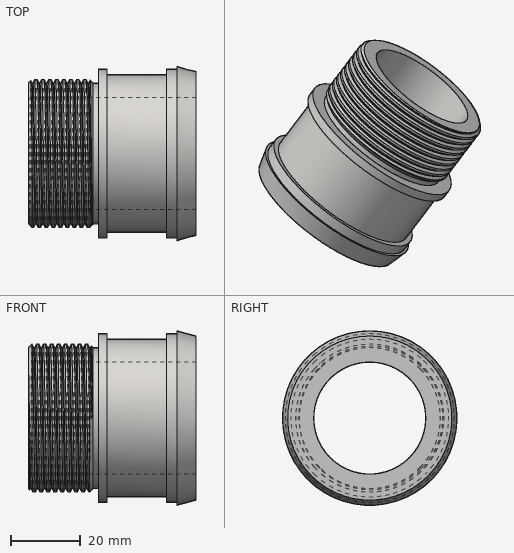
import cadquery as cq

bore_radius = 16.0

thread_radius = 21.2
thread_depth = 1.0
thread_pitch = 2.0
thread_turns = 10
lead_in_turns = 1
root_flat = 0.3
flank_slope = 0.5
thread_length = 18.5
thread_chamfer = 1.0
core_radius = thread_radius - thread_depth

collar_radius = 24.2
collar_start = 20.0
collar_width = 2.5
seat_radius = 22.6
rear_collar_start = 39.5
barb_start = 42.5
barb_radius = 25.0
barb_end_radius = 23.5
total_length = 48.0

cutter_overlap = 0.3


def turned_body():
    """Hollow body of revolution with a plain, chamfered thread blank."""
    profile = (
        cq.Workplane("XZ")
        .moveTo(0, bore_radius)
        .lineTo(0, core_radius)
        .lineTo(thread_chamfer, thread_radius)
        .lineTo(thread_length - thread_chamfer, thread_radius)
        .lineTo(thread_length, core_radius)
        .lineTo(collar_start, core_radius)
        .lineTo(collar_start, collar_radius)
        .lineTo(collar_start + collar_width, collar_radius)
        .lineTo(collar_start + collar_width, seat_radius)
        .lineTo(rear_collar_start, seat_radius)
        .lineTo(rear_collar_start, collar_radius)
        .lineTo(barb_start, collar_radius)
        .lineTo(barb_start, barb_radius)
        .lineTo(total_length, barb_end_radius)
        .lineTo(total_length, bore_radius)
        .close()
    )
    return profile.revolve(360, (0, 0, 0), (1, 0, 0))


def thread_groove():
    """Right-hand groove of trapezoidal section that starts and ends on the -Y side."""
    cutter_radius = thread_radius + cutter_overlap
    flank_spread = flank_slope * (thread_depth + cutter_overlap)
    top_edge = root_flat + flank_spread
    helix = cq.Wire.makeHelix(thread_pitch, thread_turns * thread_pitch, core_radius)
    groove = (
        cq.Workplane("XZ")
        .moveTo(core_radius, 0)
        .lineTo(core_radius, root_flat)
        .lineTo(cutter_radius, top_edge)
        .lineTo(cutter_radius, -flank_spread)
        .close()
        .sweep(cq.Workplane(obj=helix), isFrenet=True)
    )
    groove = groove.rotate((0, 0, 0), (0, 1, 0), 90).rotate((0, 0, 0), (1, 0, 0), -90)
    return groove.translate((-lead_in_turns * thread_pitch, 0, 0))


result = turned_body().cut(thread_groove())